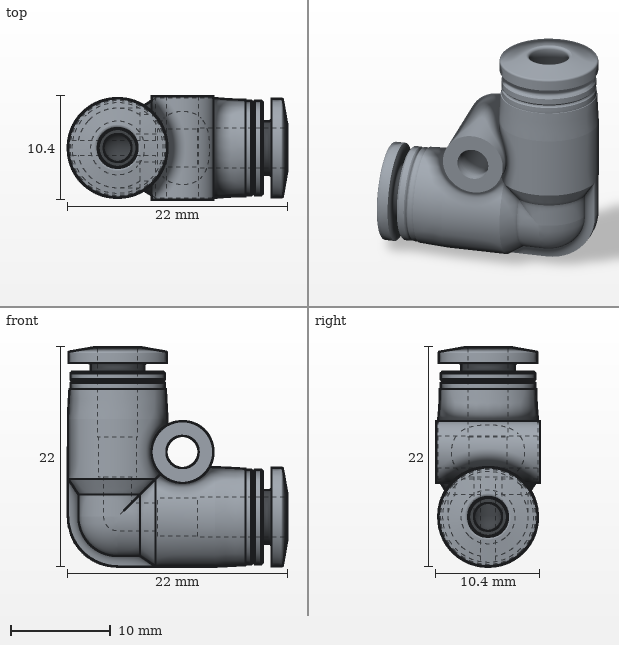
import cadquery as cq
import math


BODY_RADIUS = 10.0 / 2
BODY_START = 3.8
BODY_STRAIGHT_END = 9.8
TAPER_END = 12.8
TAPER_END_RADIUS = 9.68 / 2

NECK_RADIUS = 8.0 / 2
NECK_END = 2.25
FIN_THICKNESS = 1.5

COLLAR_RADIUS = 9.5 / 2
COLLAR_END = 14.55
GROOVE_CENTER = 13.58
COLLAR_CHAMFER = 0.2

STEM_RADIUS = 5.4 / 2
BUTTON_RADIUS = 9.9 / 2
BUTTON_START = 15.4
BUTTON_END = 17.0
BUTTON_CONE_ANGLE = 10
BUTTON_ROUND = 0.2

TUBE_RADIUS = 4.0 / 2
TUBE_MOUTH_RADIUS = 4.6 / 2
TUBE_END = 8.0
SEAT_RADIUS = 3.8 / 2
SEAT_END = 4.0
FLOW_RADIUS = 2.8 / 2

EYE_RADIUS = 6.2 / 2
EYE_HOLE_RADIUS = 3.2 / 2
EYE_LENGTH = 10.4
EYE_OFFSET = 6.5


def along_x(leg):
    """Turn a solid of revolution about Z into the same one about X."""
    return leg.rotate((0, 0, 0), (0, 1, 0), 90)


def both_legs(leg):
    return leg.union(along_x(leg))


def cylinder(radius, start, end):
    return cq.Workplane("XY").workplane(offset=start).circle(radius).extrude(end - start)


def round_elbow(radius, leg_length):
    """Two equal round legs joined by a ball at the crossing."""
    ball = cq.Workplane("XY").sphere(radius)
    return both_legs(cylinder(radius, 0, leg_length)).union(ball)


def make_leg_body():
    """Shoulder cone, body, taper, collar, stem and button, revolved about Z."""
    collar_inner = COLLAR_RADIUS - COLLAR_CHAMFER
    cone_slope = math.radians(BUTTON_CONE_ANGLE)
    rim_corner = BUTTON_END - (BUTTON_RADIUS - TUBE_MOUTH_RADIUS) * math.tan(cone_slope)
    tangent_length = BUTTON_ROUND * math.tan((math.pi / 2 - cone_slope) / 2)
    rim_end = rim_corner - tangent_length
    cone_edge = (
        BUTTON_RADIUS - tangent_length * math.cos(cone_slope),
        rim_corner + tangent_length * math.sin(cone_slope),
    )
    profile = (
        cq.Workplane("XZ")
        .moveTo(0, NECK_END)
        .lineTo(NECK_RADIUS, NECK_END)
        .lineTo(BODY_RADIUS, BODY_START)
        .lineTo(BODY_RADIUS, BODY_STRAIGHT_END)
        .lineTo(TAPER_END_RADIUS, TAPER_END)
        .lineTo(COLLAR_RADIUS, TAPER_END)
        .lineTo(COLLAR_RADIUS, GROOVE_CENTER - COLLAR_CHAMFER)
        .lineTo(collar_inner, GROOVE_CENTER)
        .lineTo(COLLAR_RADIUS, GROOVE_CENTER + COLLAR_CHAMFER)
        .lineTo(COLLAR_RADIUS, COLLAR_END - COLLAR_CHAMFER)
        .lineTo(collar_inner, COLLAR_END)
        .lineTo(STEM_RADIUS, COLLAR_END)
        .lineTo(STEM_RADIUS, BUTTON_START - BUTTON_ROUND)
        .radiusArc((STEM_RADIUS + BUTTON_ROUND, BUTTON_START), BUTTON_ROUND)
        .lineTo(BUTTON_RADIUS, BUTTON_START)
        .lineTo(BUTTON_RADIUS, rim_end)
        .tangentArcPoint(cone_edge, relative=False)
        .lineTo(TUBE_MOUTH_RADIUS, BUTTON_END)
        .lineTo(0, BUTTON_END)
        .close()
    )
    return profile.revolve(360, (0, 0, 0), (0, 1, 0))


def make_fin():
    """Middle slice of a full-size elbow, so the fin runs flush with both bodies."""
    size = 2 * (BODY_RADIUS + BODY_START)
    slab = cq.Workplane("XY").box(size, FIN_THICKNESS, size)
    return round_elbow(BODY_RADIUS, BODY_START).intersect(slab)


def make_tube_bore():
    """Tube bore with a rounded mouth and a narrower seat, revolved about Z."""
    mouth_round = TUBE_MOUTH_RADIUS - TUBE_RADIUS
    profile = (
        cq.Workplane("XZ")
        .moveTo(0, SEAT_END)
        .lineTo(SEAT_RADIUS, SEAT_END)
        .lineTo(SEAT_RADIUS, TUBE_END)
        .lineTo(TUBE_RADIUS, TUBE_END)
        .lineTo(TUBE_RADIUS, BUTTON_END - mouth_round)
        .tangentArcPoint((TUBE_MOUTH_RADIUS, BUTTON_END), relative=False)
        .lineTo(0, BUTTON_END)
        .close()
    )
    return profile.revolve(360, (0, 0, 0), (0, 1, 0))


def eye_cylinder(radius):
    """Cylinder along Y through the eye, centred on the plane of the legs."""
    return (
        cq.Workplane("XZ")
        .center(EYE_OFFSET, EYE_OFFSET)
        .circle(radius)
        .extrude(EYE_LENGTH / 2, both=True)
    )


outside = (
    both_legs(make_leg_body())
    .union(make_fin())
    .union(round_elbow(NECK_RADIUS, NECK_END))
    .union(eye_cylinder(EYE_RADIUS))
)
result = (
    outside
    .cut(both_legs(make_tube_bore()))
    .cut(round_elbow(FLOW_RADIUS, SEAT_END))
    .cut(eye_cylinder(EYE_HOLE_RADIUS))
)